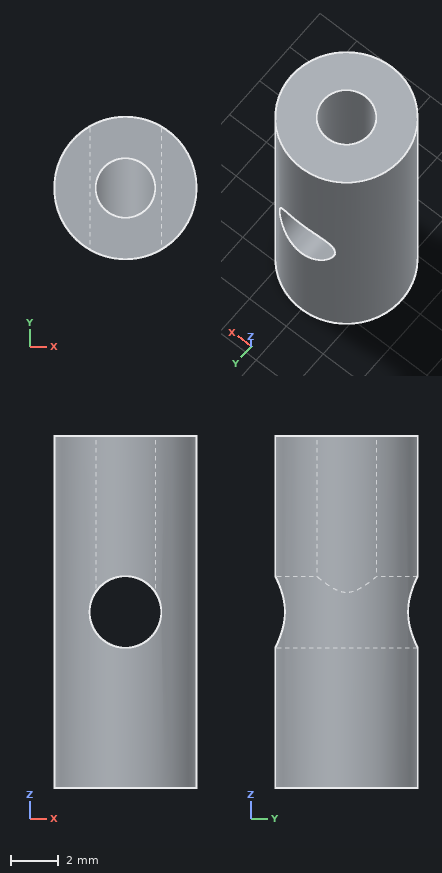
import cadquery as cq

pin_length = 14.8
pin_diameter = 6.0
cross_hole_diameter = 3.0
bore_diameter = 2.5

cross_hole_height = pin_length / 2


def make_pin():
    """Solid round pin standing on the XY plane."""
    return cq.Workplane("XY").circle(pin_diameter / 2).extrude(pin_length)


def make_cross_hole():
    """Cutter for the hole running through the pin along Y."""
    return (
        cq.Workplane("XZ")
        .center(0, cross_hole_height)
        .circle(cross_hole_diameter / 2)
        .extrude(pin_diameter / 2, both=True)
    )


def make_bore():
    """Cutter for the axial bore from the top face down to the cross hole axis."""
    return (
        cq.Workplane("XY")
        .workplane(offset=cross_hole_height)
        .circle(bore_diameter / 2)
        .extrude(pin_length - cross_hole_height)
    )


result = make_pin().cut(make_cross_hole()).cut(make_bore())